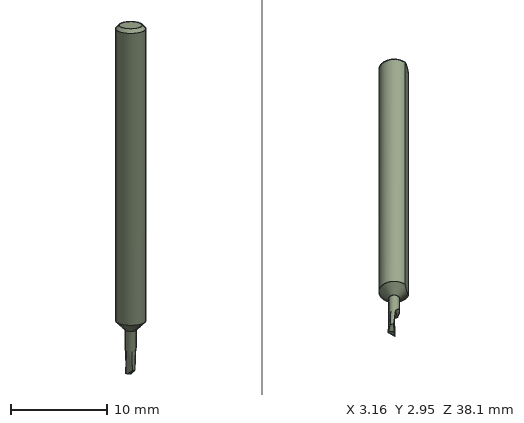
import cadquery as cq
import math

TOTAL_LENGTH = 38.1
SHANK_RADIUS = 1.58
SHANK_DEPTH = 2.95
SHANK_BOTTOM = 5.8
TOP_CHAMFER = 0.4
NECK_RADIUS = 0.57
NECK_BOTTOM = 2.55
SHOULDER_HEIGHT = SHANK_RADIUS - NECK_RADIUS

RUNOUT_TOP = 3.05
RUNOUT_INNER_Y = 0.248

TIP_ROOT_ANGLES = (192, 275, 335, 386)

TIP_LEFT = -0.65
TIP_RIGHT = 0.7
TIP_BACK = -0.65
TIP_END_CORNERS = ((TIP_LEFT, -0.05), (-0.05, TIP_BACK), (TIP_RIGHT, -0.25), (TIP_RIGHT, 0.05))

BEVEL_START_X = 0.08
BEVEL_HEIGHT = 0.57
END_RELIEF_RISE = 0.1
CUT_MARGIN = 0.4


def make_shank():
    """Round shank with a conical shoulder and a full-length flat on +Y."""
    neck_top = SHANK_BOTTOM - SHOULDER_HEIGHT
    body = (
        cq.Workplane("XZ")
        .moveTo(0, neck_top)
        .lineTo(NECK_RADIUS, neck_top)
        .lineTo(SHANK_RADIUS, SHANK_BOTTOM)
        .lineTo(SHANK_RADIUS, TOTAL_LENGTH - TOP_CHAMFER)
        .lineTo(SHANK_RADIUS - TOP_CHAMFER, TOTAL_LENGTH)
        .lineTo(0, TOTAL_LENGTH)
        .close()
        .revolve(360, (0, 0, 0), (0, 1, 0))
    )
    flat_y = SHANK_DEPTH - SHANK_RADIUS
    waste = cq.Workplane("XY").box(
        2 * SHANK_RADIUS, SHANK_RADIUS, TOTAL_LENGTH, centered=(True, False, False)
    )
    return body.cut(waste.translate((0, flat_y, 0)))


def make_neck():
    """Cylindrical neck, sloped away at the lower +Y side."""
    neck_length = SHANK_BOTTOM - NECK_BOTTOM
    neck = cq.Workplane("XY", origin=(0, 0, NECK_BOTTOM)).circle(NECK_RADIUS).extrude(neck_length)
    runout = (
        cq.Workplane("YZ")
        .moveTo(RUNOUT_INNER_Y, NECK_BOTTOM)
        .lineTo(NECK_RADIUS, RUNOUT_TOP)
        .lineTo(NECK_RADIUS, NECK_BOTTOM)
        .close()
        .extrude(NECK_RADIUS, both=True)
    )
    return neck.cut(runout)


def root_point(angle):
    """Point on the neck circle at the given angle in degrees."""
    radians = math.radians(angle)
    return cq.Vector(NECK_RADIUS * math.cos(radians), NECK_RADIUS * math.sin(radians), NECK_BOTTOM)


def make_tip():
    """Cutting tip blending from the round neck to a four-sided end."""
    root_edges = [
        cq.Edge.makeThreePointArc(root_point(start), root_point((start + end) / 2), root_point(end))
        for start, end in zip(TIP_ROOT_ANGLES, TIP_ROOT_ANGLES[1:])
    ]
    rake_edge = cq.Edge.makeLine(root_point(TIP_ROOT_ANGLES[-1]), root_point(TIP_ROOT_ANGLES[0]))
    root = cq.Wire.assembleEdges(root_edges + [rake_edge])
    end = cq.Wire.makePolygon([cq.Vector(x, y, 0) for x, y in TIP_END_CORNERS], close=True)
    tip = cq.Workplane(cq.Solid.makeLoft([end, root], True))

    bevel = (
        cq.Workplane("XZ")
        .moveTo(BEVEL_START_X, 0)
        .lineTo(TIP_RIGHT, BEVEL_HEIGHT)
        .lineTo(TIP_RIGHT + CUT_MARGIN, BEVEL_HEIGHT)
        .lineTo(TIP_RIGHT + CUT_MARGIN, 0)
        .close()
        .extrude(SHANK_RADIUS, both=True)
    )
    end_relief = (
        cq.Workplane("YZ")
        .moveTo(TIP_END_CORNERS[0][1], 0)
        .lineTo(TIP_BACK, END_RELIEF_RISE)
        .lineTo(TIP_BACK - CUT_MARGIN, END_RELIEF_RISE)
        .lineTo(TIP_BACK - CUT_MARGIN, 0)
        .close()
        .extrude(SHANK_RADIUS, both=True)
    )
    return tip.cut(bevel).cut(end_relief)


result = make_shank().union(make_neck()).union(make_tip())